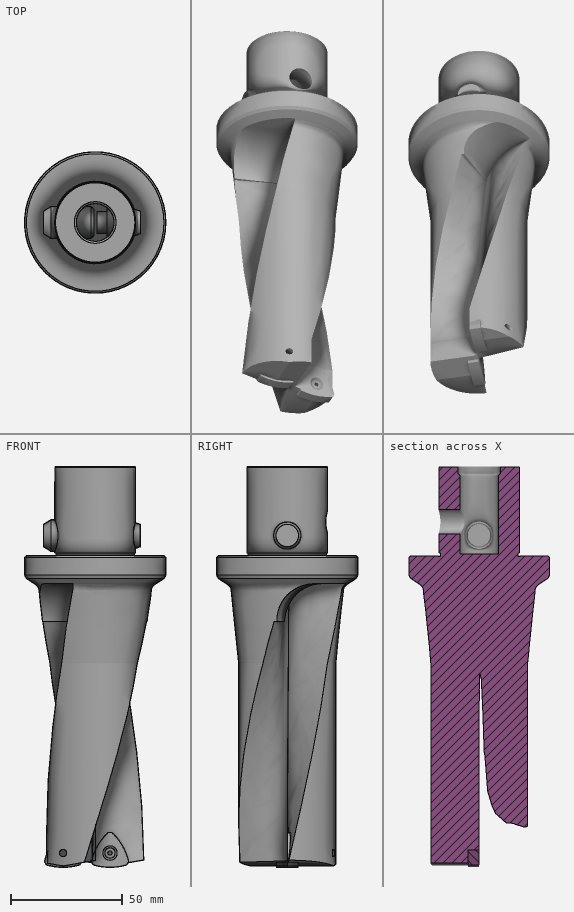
import math

import cadquery as cq


shank_radius = 18.2
shank_length = 40.0
shank_chamfer = 0.4
relief_radius = 17.6
relief_height = 1.0
relief_outer_radius = 18.5
relief_depth = 0.4

bore_radius = 8.5
bore_floor = 0.9
mouth_radius = 9.4
mouth_depth = 3.2
mouth_cone_height = 0.9

flange_diameter = 63.5
flange_radius = flange_diameter / 2
flange_chamfer = 0.9
flange_side_end = -8.8
flange_lip_radius = 31.0
flange_lip_end = -10.3
flange_cone_radius = 26.8
flange_cone_end = -13.0
neck_radius = 25.2
neck_start = -16.2

drill_diameter = 43.7
drill_radius = drill_diameter / 2
drill_start = -48.2
tip_end = -140.0
point_end = -139.3
point_slope = 0.17

twist_rate = 0.6056
corner_radius = 1.5
flute_size = 54.0
flute_top = -9.0
flute_sections = 8
runout_start = -29.7
runout_radius = 17.1
runout_yaw = 3.0

inner_flute = dict(
    corner=-1.0, corner_drift=0.0, lean_start=-12.0, lean_rate=0.2111, twist_start=tip_end
)
outer_flute = dict(
    corner=3.6, corner_drift=0.02, lean_start=0.0, lean_rate=0.1111, twist_start=-125.3
)

inner_insert_x = 6.7
outer_insert_x = 14.4
insert_corner_radius = 9.2
insert_corner_flat = 1.8
insert_side_radius = 6.5
insert_thickness = 4.9
insert_z = tip_end + insert_side_radius

screw_sink_radius = 3.2
screw_head_radius = 2.3
screw_head_top = 0.7
screw_head_end = 1.6
screw_radius = 1.6
screw_length = 9.0
socket_width = 2.2
socket_depth = 1.5

pin_z = 9.0
pin_face_radius = 5.0
big_pin_radius = 7.2
big_pin_face_x = -23.2
big_pin_rim_x = -19.8
big_pin_end_x = -0.5
big_pin_end_chamfer = 1.3
small_pin_radius = 6.1
small_pin_neck_x = 0.7
small_pin_shoulder_x = 5.2
small_pin_rim_x = 17.3
small_pin_face_x = 20.3

lock_hole_radius = 5.4
lock_hole_z = 15.1


def rotated(point, degrees):
    angle = math.radians(degrees)
    x, y = point
    return (
        x * math.cos(angle) - y * math.sin(angle),
        x * math.sin(angle) + y * math.cos(angle),
    )


def turned_about_z(body, degrees):
    return body.rotate((0, 0, 0), (0, 0, 1), degrees)



def blank():
    """Shank, flange, neck and shaft as one turned solid."""
    profile = (
        cq.Workplane("XZ")
        .moveTo(0, shank_length)
        .lineTo(shank_radius - shank_chamfer, shank_length)
        .lineTo(shank_radius, shank_length - shank_chamfer)
        .lineTo(shank_radius, relief_height)
        .lineTo(relief_radius, relief_height)
        .lineTo(relief_radius, -relief_depth)
        .lineTo(relief_outer_radius, -relief_depth)
        .lineTo(relief_outer_radius, 0)
        .lineTo(flange_radius - flange_chamfer, 0)
        .lineTo(flange_radius, -flange_chamfer)
        .lineTo(flange_radius, flange_side_end)
        .lineTo(flange_lip_radius, flange_lip_end)
        .lineTo(flange_cone_radius, flange_cone_end)
        .tangentArcPoint((neck_radius, neck_start), relative=False)
        .lineTo(drill_radius, drill_start)
        .lineTo(drill_radius, tip_end)
        .lineTo(0, tip_end)
        .close()
    )
    return profile.revolve(360, (0, 0), (0, 1))


def bore():
    mouth_end = shank_length - mouth_depth
    profile = cq.Workplane("XZ").polyline([
        (0, shank_length),
        (mouth_radius, shank_length),
        (mouth_radius, mouth_end),
        (bore_radius, mouth_end - mouth_cone_height),
        (bore_radius, bore_floor),
        (0, bore_floor),
    ])
    return profile.close().revolve(360, (0, 0), (0, 1))


def pin_holes():
    across = cq.Workplane("YZ", origin=(0, 0, pin_z))
    big_hole = across.circle(big_pin_radius).extrude(-flange_radius)
    small_hole = across.circle(small_pin_radius).extrude(flange_radius)
    return big_hole.union(small_hole)


def lock_hole():
    return cq.Workplane("XZ", origin=(0, 0, lock_hole_z)).circle(lock_hole_radius).extrude(-flange_radius)


def flute_wire(z, corner, corner_drift, lean_start, lean_rate, twist_start):
    """Closed L-shaped section: one wall along +X, the other hanging down from the rounded corner."""
    rise = max(z - twist_start, 0)
    corner_x = corner + corner_drift * rise
    wall = rotated((0, -1), lean_start + lean_rate * rise)
    diagonal = (wall[0] + 1, wall[1])
    diagonal_length = math.hypot(*diagonal)
    half_angle = math.acos(diagonal_length / 2)
    setback = corner_radius / math.tan(half_angle)
    arc_reach = (corner_radius / math.sin(half_angle) - corner_radius) / diagonal_length
    points = [
        (corner_x + setback, 0),
        (corner_x + arc_reach * diagonal[0], arc_reach * diagonal[1]),
        (corner_x + setback * wall[0], setback * wall[1]),
        (corner_x + flute_size * wall[0], flute_size * wall[1]),
        (corner_x + flute_size * diagonal[0], flute_size * diagonal[1]),
        (corner_x + flute_size, 0),
    ]
    start, middle, end, *outer = [rotated(point, twist_rate * rise) for point in points]
    section = cq.Workplane("XY", origin=(0, 0, z)).moveTo(*start).threePointArc(middle, end)
    for point in outer:
        section = section.lineTo(*point)
    return section.close().val()


def runout_limit(corner, corner_drift, lean_start, lean_rate, twist_start):
    """Space a flute may fill: all below the runout, and above it a quarter circle along the second wall."""
    rise = runout_start - twist_start
    twist = twist_rate * rise
    lean = lean_start + lean_rate * rise
    corner_point = rotated((corner + corner_drift * rise, 0), twist)
    diagonal = runout_radius * math.sqrt(0.5)
    overlap = 1.8
    quarter = (
        cq.Workplane("XZ")
        .moveTo(0, -overlap)
        .lineTo(0, 0)
        .threePointArc((runout_radius - diagonal, diagonal), (runout_radius, runout_radius))
        .lineTo(flute_size, runout_radius)
        .lineTo(flute_size, -overlap)
        .close()
        .extrude(flute_size, both=True)
    )
    quarter = turned_about_z(quarter, twist + lean + runout_yaw).translate((*corner_point, runout_start))
    below = cq.Workplane("XY", origin=(0, 0, runout_start)).rect(4 * flute_size, 4 * flute_size)
    return quarter.union(below.extrude(2 * tip_end))


def flute(shape):
    """Twisted length with its runout, and the straight length below it."""
    twist_start = shape["twist_start"]
    step = (flute_top - twist_start) / flute_sections
    sections = [flute_wire(twist_start + i * step, **shape) for i in range(flute_sections + 1)]
    below_tip = flute_wire(2 * tip_end, **shape)
    twisted = cq.Workplane(cq.Solid.makeLoft(sections, False)).intersect(runout_limit(**shape))
    straight = cq.Workplane(cq.Solid.makeLoft([below_tip, sections[0]], True))
    return twisted, straight


def point_relief(x):
    """Space below a shallow V whose ridge runs along Y at x, on the +Y half."""
    reach = 2 * flute_size
    shoulder_z = point_end + point_slope * reach
    outline = cq.Workplane("XZ").polyline([
        (x, point_end),
        (x + reach, shoulder_z),
        (x + reach, point_end - reach),
        (x - reach, point_end - reach),
        (x - reach, shoulder_z),
    ])
    return outline.close().extrude(-flute_size)


def screw_hole(x):
    """Hole from the rake face right through the lobe behind the insert."""
    return cq.Workplane("XZ", origin=(x, 0, insert_z)).circle(screw_radius).extrude(-2 * drill_radius)


def housing():
    body = blank().cut(bore()).cut(pin_holes()).cut(lock_hole())
    for shape, x, turn in seats:
        for tool in (*flute(shape), point_relief(x), insert_blank(x), screw_hole(x)):
            body = body.cut(turned_about_z(tool, turn))
    return body



def insert_blank(x):
    """Three-cornered plate with bulging sides and blunted corners."""
    half_flat = insert_corner_flat / 2
    outline = cq.Workplane("XZ", origin=(x, 0, insert_z))
    outline = outline.moveTo(*rotated((insert_corner_radius, -half_flat), 90))
    for corner_angle in (90, 210, 330):
        outline = outline.lineTo(*rotated((insert_corner_radius, half_flat), corner_angle))
        outline = outline.threePointArc(
            rotated((insert_side_radius, 0), corner_angle + 60),
            rotated((insert_corner_radius, -half_flat), corner_angle + 120),
        )
    return outline.close().extrude(-insert_thickness)


def screw_seat(x):
    """Countersink and clearance for the screw through an insert."""
    profile = cq.Workplane("XY").polyline([
        (0, 0),
        (screw_sink_radius, 0),
        (screw_head_radius, screw_head_top),
        (screw_radius, screw_head_end),
        (screw_radius, screw_length),
        (0, screw_length),
    ])
    return profile.close().revolve(360, (0, 0), (0, 1)).translate((x, 0, insert_z))


def insert(x):
    return insert_blank(x).cut(screw_seat(x))



def insert_screw(x):
    profile = cq.Workplane("XY").polyline([
        (0, screw_head_top),
        (screw_head_radius, screw_head_top),
        (screw_radius, screw_head_end),
        (screw_radius, screw_length),
        (0, screw_length),
    ])
    screw = profile.close().revolve(360, (0, 0), (0, 1)).translate((x, 0, insert_z))
    socket = cq.Workplane("XZ", origin=(x, screw_head_top, insert_z)).polygon(6, socket_width)
    return screw.cut(socket.extrude(-socket_depth))



def pin(points):
    """Pin turned about the cross hole's axis from (x, radius) points."""
    return cq.Workplane("XY").polyline(points).close().revolve(360, (0, 0), (1, 0)).translate((0, 0, pin_z))


def big_pin():
    return pin([
        (big_pin_face_x, 0),
        (big_pin_face_x, pin_face_radius),
        (big_pin_rim_x, big_pin_radius),
        (big_pin_end_x - big_pin_end_chamfer, big_pin_radius),
        (big_pin_end_x, big_pin_radius - big_pin_end_chamfer),
        (big_pin_end_x, 0),
    ])


def small_pin():
    return pin([
        (small_pin_neck_x, 0),
        (small_pin_neck_x, pin_face_radius),
        (small_pin_shoulder_x, pin_face_radius),
        (small_pin_shoulder_x, small_pin_radius),
        (small_pin_rim_x, small_pin_radius),
        (small_pin_face_x, pin_face_radius),
        (small_pin_face_x, 0),
    ])



seats = [
    (inner_flute, inner_insert_x, 0),
    (outer_flute, outer_insert_x, 180),
]
inserts = [turned_about_z(insert(x), turn) for _, x, turn in seats]
screws = [turned_about_z(insert_screw(x), turn) for _, x, turn in seats]

result = cq.Compound.makeCompound([
    housing().val(),
    *[plate.val() for plate in inserts],
    *[screw.val() for screw in screws],
    big_pin().val(),
    small_pin().val(),
])